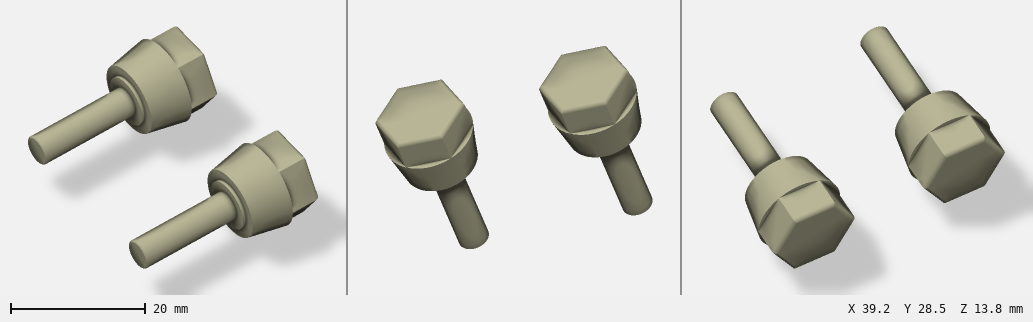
import cadquery as cq
import math

overall_width = 39.25
overall_length = 28.5
hex_across_flats = 12.0
hex_across_corners = hex_across_flats / math.cos(math.pi / 6)
screw_spacing = overall_width - hex_across_corners

hex_length = 5.0
cone_length = 6.48
collar_length = 0.55
shank_length = overall_length - hex_length - cone_length - collar_length

cone_base_diameter = 13.8
cone_end_diameter = 11.4
collar_diameter = 8.0
shank_diameter = 4.7
hex_edge_radius = 0.65
shank_chamfer = 0.15

shank_end_y = -overall_length / 2
collar_y = shank_end_y + shank_length
cone_end_y = collar_y + collar_length
hex_y = cone_end_y + cone_length


def make_hex():
    """Hexagonal head with corners on +X and -X and rounded outer end edges."""
    return (
        cq.Workplane("XZ", origin=(0, hex_y, 0))
        .polygon(6, hex_across_corners)
        .extrude(-hex_length)
        .faces(">Y")
        .edges()
        .fillet(hex_edge_radius)
    )


def make_turned_section():
    """Cone, collar and chamfered shank, revolved about the Y axis."""
    shank_radius = shank_diameter / 2
    return (
        cq.Workplane("XY")
        .moveTo(0, shank_end_y)
        .lineTo(shank_radius - shank_chamfer, shank_end_y)
        .lineTo(shank_radius, shank_end_y + shank_chamfer)
        .lineTo(shank_radius, collar_y)
        .lineTo(collar_diameter / 2, collar_y)
        .lineTo(collar_diameter / 2, cone_end_y)
        .lineTo(cone_end_diameter / 2, cone_end_y)
        .lineTo(cone_base_diameter / 2, hex_y)
        .lineTo(0, hex_y)
        .close()
        .revolve(360, (0, 0, 0), (0, 1, 0))
    )


def make_screw(x):
    """One screw, a single solid, with its axis at the given X."""
    return make_hex().union(make_turned_section()).translate((x, 0, 0))


screws = [make_screw(side * screw_spacing / 2) for side in (-1, 1)]

result = cq.Compound.makeCompound([screw.val() for screw in screws])